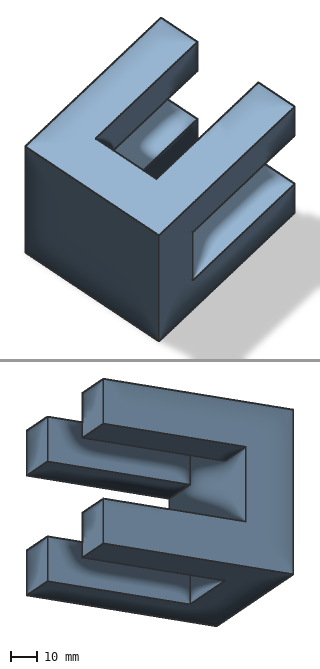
import cadquery as cq

length = 80.0
width = 66.0
base_thickness = 20.0
leg_side = 18.0

leg_length = length - base_thickness
slot_width = width - 2 * leg_side
slot_center_y = base_thickness / 2

block = cq.Workplane("XY").box(width, length, width)

vertical_slot = (
    cq.Workplane("XY")
    .box(slot_width, leg_length, width)
    .translate((0, slot_center_y, 0))
)
horizontal_slot = (
    cq.Workplane("XY")
    .box(width, leg_length, slot_width)
    .translate((0, slot_center_y, 0))
)

result = block.cut(vertical_slot).cut(horizontal_slot)